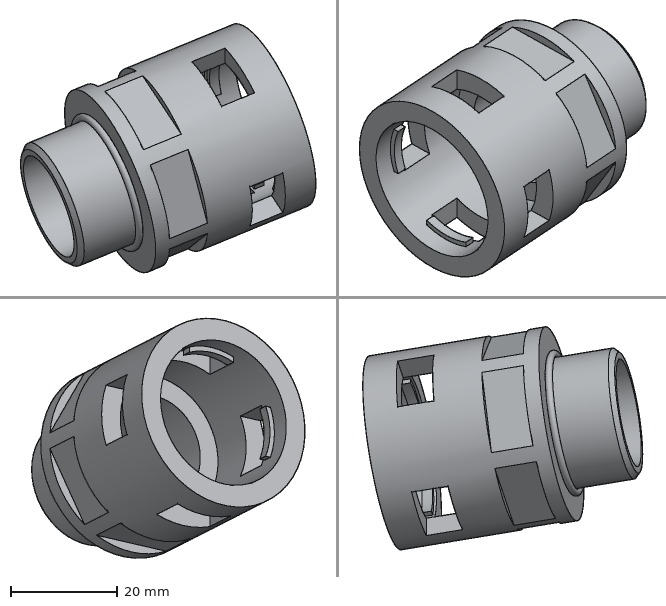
import cadquery as cq
import math

TOTAL_LENGTH = 47.0
BODY_LENGTH = 34.0
BODY_DIAMETER = 37.0
SOCKET_DIAMETER = 28.5
SOCKET_DEPTH = 23.0

SPIGOT_DIAMETER = 25.0
SPIGOT_CHAMFER = 1.0
BORE_DIAMETER = 20.5

RING_SECTION = 1.4

WINDOW_COUNT = 4
WINDOW_WIDTH = 12.0
WINDOW_LENGTH = 7.0
WINDOW_FROM_MOUTH = 6.5

LUG_WIDTH = 10.0
LUG_LENGTH = 2.0
LUG_GAP_TO_WINDOW = 0.5
LUG_INNER_DIAMETER = 26.5

FLAT_COUNT = 6
ACROSS_FLATS = 33.5
FLAT_LENGTH = 8.0
FLAT_FROM_SHOULDER = 3.0

SHOULDER_Y = TOTAL_LENGTH - BODY_LENGTH
WINDOW_END_Y = TOTAL_LENGTH - WINDOW_FROM_MOUTH


def cylinder_along_y(diameter, start_y, length):
    """Solid cylinder on the Y axis, from start_y toward +Y."""
    base = cq.Workplane("XZ", origin=(0, start_y, 0))
    return base.circle(diameter / 2).extrude(-length)


def block_on_top(width, start_y, length, bottom_z):
    """Box centred on X, from bottom_z up to past the body surface."""
    height = BODY_DIAMETER - bottom_z
    box = cq.Workplane("XY").box(width, length, height, centered=(True, False, False))
    return box.translate((0, start_y, bottom_z))


def copies_around_axis(shape, count):
    """Evenly spaced copies of a shape around the Y axis."""
    step = 360 / count
    return [shape.rotate((0, 0, 0), (0, 1, 0), index * step) for index in range(count)]


def make_outer_shape():
    spigot = cylinder_along_y(SPIGOT_DIAMETER, 0, TOTAL_LENGTH)
    spigot = spigot.faces("<Y").chamfer(SPIGOT_CHAMFER)
    return spigot.union(cylinder_along_y(BODY_DIAMETER, SHOULDER_Y, BODY_LENGTH))


def make_sealing_ring():
    """Round ring touching spigot and shoulder, with the corner behind it filled."""
    spigot_radius = SPIGOT_DIAMETER / 2
    section_radius = RING_SECTION / 2
    center_x = spigot_radius + section_radius
    center_y = SHOULDER_Y - section_radius
    outward = section_radius * math.sqrt(0.5)
    profile = (
        cq.Workplane("XY")
        .moveTo(spigot_radius, SHOULDER_Y)
        .lineTo(center_x, SHOULDER_Y)
        .threePointArc((center_x + outward, center_y - outward), (spigot_radius, center_y))
        .close()
    )
    return profile.revolve(360, (0, 0), (0, 1))


def cut_bores(part):
    part = part.cut(cylinder_along_y(BORE_DIAMETER, 0, TOTAL_LENGTH))
    return part.cut(cylinder_along_y(SOCKET_DIAMETER, TOTAL_LENGTH - SOCKET_DEPTH, SOCKET_DEPTH))


def cut_windows(part):
    cutter = block_on_top(WINDOW_WIDTH, WINDOW_END_Y - WINDOW_LENGTH, WINDOW_LENGTH, 0)
    for window in copies_around_axis(cutter, WINDOW_COUNT):
        part = part.cut(window)
    return part


def add_locking_lugs(part):
    start_y = WINDOW_END_Y + LUG_GAP_TO_WINDOW
    wall_middle_diameter = (SOCKET_DIAMETER + BODY_DIAMETER) / 2
    ring = cylinder_along_y(wall_middle_diameter, start_y, LUG_LENGTH)
    ring = ring.cut(cylinder_along_y(LUG_INNER_DIAMETER, start_y, LUG_LENGTH))
    lug = ring.intersect(block_on_top(LUG_WIDTH, start_y, LUG_LENGTH, 0))
    for rotated_lug in copies_around_axis(lug, WINDOW_COUNT):
        part = part.union(rotated_lug)
    return part


def cut_wrench_flats(part):
    start_y = SHOULDER_Y + FLAT_FROM_SHOULDER
    cutter = block_on_top(BODY_DIAMETER, start_y, FLAT_LENGTH, ACROSS_FLATS / 2)
    for flat in copies_around_axis(cutter, FLAT_COUNT):
        part = part.cut(flat)
    return part


connector = make_outer_shape().union(make_sealing_ring())
connector = cut_bores(connector)
connector = cut_windows(connector)
connector = add_locking_lugs(connector)
result = cut_wrench_flats(connector)